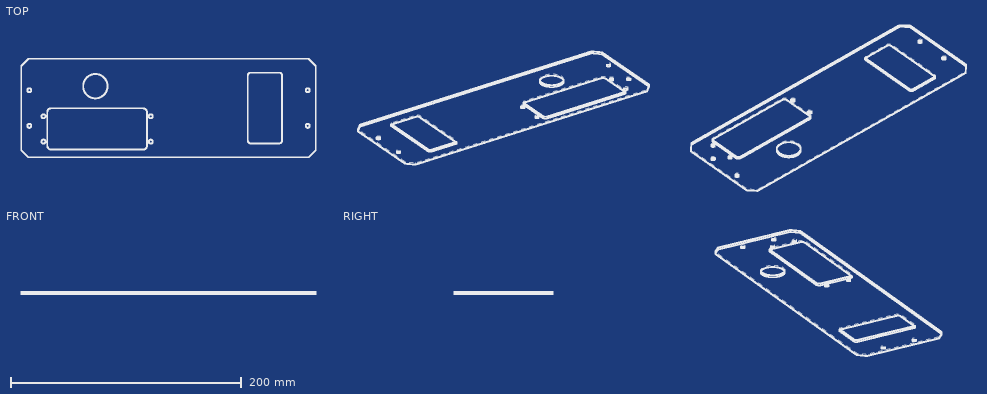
import cadquery as cq

length = 255.5
width = 85.5
thickness = 2.0
corner_chamfer = 6.5

round_diameter = 21.0
round_center = (-63.4, 19.0)

wide_window_size = (86.0, 35.5)
wide_window_center = (-61.8, -18.1)
wide_window_radius = 3.0
window_hole_spacing = (93.0, 22.0)

tall_window_size = (29.5, 61.0)
tall_window_center = (83.5, 0)
tall_window_radius = 2.0

screw_diameter = 3.3
mount_hole_spacing = (241.2, 31.0)
mount_hole_center = (0, 0)


def vertical_hole(center, diameter):
    """Round cutter through the full thickness."""
    return cq.Workplane("XY").center(*center).circle(diameter / 2).extrude(thickness)


def window(center, size, radius):
    """Rectangular cutter with rounded corners."""
    block = cq.Workplane("XY").center(*center).rect(*size).extrude(thickness)
    return block.edges("|Z").fillet(radius)


def four_screw_holes(center, spacing):
    """Four round cutters on the corners of a rectangle."""
    corners = cq.Workplane("XY").center(*center).rect(*spacing, forConstruction=True).vertices()
    return corners.circle(screw_diameter / 2).extrude(thickness)


plate = cq.Workplane("XY").rect(length, width).extrude(thickness)
plate = plate.edges("|Z").chamfer(corner_chamfer)

result = (
    plate
    .cut(vertical_hole(round_center, round_diameter))
    .cut(window(wide_window_center, wide_window_size, wide_window_radius))
    .cut(four_screw_holes(wide_window_center, window_hole_spacing))
    .cut(window(tall_window_center, tall_window_size, tall_window_radius))
    .cut(four_screw_holes(mount_hole_center, mount_hole_spacing))
)